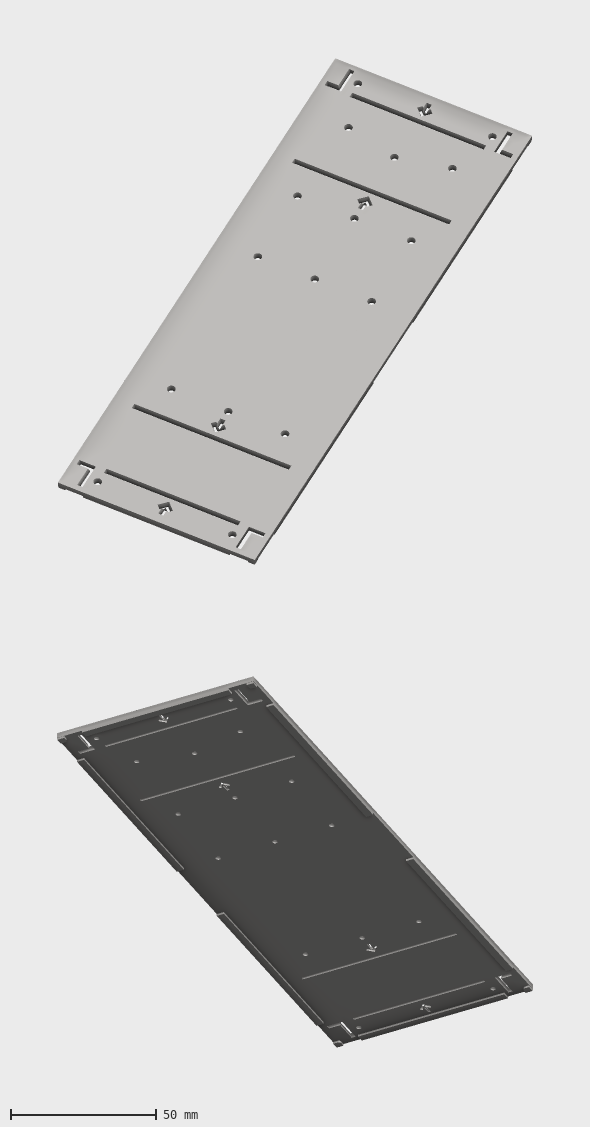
import cadquery as cq
import math

WIDTH = 76.0
LENGTH = 211.0
HEIGHT = 2.7
PLATE_THICKNESS = 1.98
RIM_HEIGHT = HEIGHT - PLATE_THICKNESS

SLOT_WIDTH = 2.0
HOLE_DIAMETER = 2.0

FLARE_DEPTH = 1.5
FLARE_STEEPNESS = 3
FLARE_INSET = FLARE_DEPTH / FLARE_STEEPNESS
FLARE_ANGLE = math.degrees(math.atan(1 / FLARE_STEEPNESS))

RIM_WIDTH = 2.7
END_RIM_LENGTH = 56.5
SIDE_RIM_LENGTH = 75.3
SIDE_RIM_GAP = 30.2

FOOT_SETBACK = 0.1
FOOT_ROUND_DIAMETER = 2.0

END_SLOT_LENGTH = 51.7
END_SLOT_Y = 93.5
INNER_SLOT_LENGTH = 60.5
UPPER_INNER_SLOT_Y = 58.5
LOWER_INNER_SLOT_Y = -63.5

ARROW_LENGTH = 6.3
ARROW_STEM_START = 2.7
ARROW_HEAD_HALF_WIDTH = 3.0
ARROW_TIP_FROM_SLOT = 2.3

CORNER_SLOT_INNER_X = 29.5
CORNER_SLOT_OUTER_X = 35.9
CORNER_SLOT_INNER_Y = 93.3
CORNER_SLOT_OUTER_Y = 103.4

CORNER_HOLE_X = 26.0
CORNER_HOLE_Y = 99.0
TOP_PAIR_X = 20.0
TOP_PAIR_Y = 80.2
TOP_CENTRE_Y = 75.5
ROW_SIDE_X = 22.0
ROW_YS = (45.2, 15.0, -50.9)


def block(x_size, y_size, z_size, x, y, z):
    """Box centred at x, y with its bottom at z."""
    return cq.Workplane("XY").box(x_size, y_size, z_size, centered=(True, True, False)).translate((x, y, z))


def top_face():
    """Workplane on the upper face of the plate."""
    return cq.Workplane("XY").workplane(offset=HEIGHT)


def with_straight_end(flare):
    """Carry the lower end of a flare straight down to the underside of the part."""
    straight = flare.faces("<Z").wires().toPending().extrude(FLARE_DEPTH - HEIGHT, combine=False)
    return flare.union(straight)


def flared_cutter(outline):
    """Cutter from an outline on the top face, all of whose walls lean inwards."""
    return with_straight_end(outline.extrude(-FLARE_DEPTH, taper=FLARE_ANGLE))


def partly_flared_cutter(upper_points, lower_points):
    """Cutter between two matching outlines, for openings that keep some walls upright."""
    wires = [
        cq.Wire.makePolygon([cq.Vector(x, y, z) for x, y in points], close=True)
        for points, z in ((lower_points, HEIGHT - FLARE_DEPTH), (upper_points, HEIGHT))
    ]
    return with_straight_end(cq.Workplane(cq.Solid.makeLoft(wires, True)))


def flared_slot(length, y):
    """Straight slot along X, flared on all four sides."""
    return flared_cutter(top_face().center(0, y).rect(length, SLOT_WIDTH))


def rim():
    """One bar along each end and two along each side, flush with the plate edges."""
    edge_x = (WIDTH - RIM_WIDTH) / 2
    edge_y = (LENGTH - RIM_WIDTH) / 2
    side_bar_y = (SIDE_RIM_GAP + SIDE_RIM_LENGTH) / 2
    bars = cq.Workplane("XY")
    for y_sign in (-1, 1):
        bars = bars.add(block(END_RIM_LENGTH, RIM_WIDTH, RIM_HEIGHT, 0, y_sign * edge_y, 0))
        for x_sign in (-1, 1):
            x = x_sign * edge_x
            bars = bars.add(block(RIM_WIDTH, SIDE_RIM_LENGTH, RIM_HEIGHT, x, y_sign * side_bar_y, 0))
    return bars.combine()


def corner_feet():
    """Four square feet whose corner towards the middle of the plate is rounded."""
    size = RIM_WIDTH - FOOT_SETBACK
    x = WIDTH / 2 - FOOT_SETBACK - size / 2
    y = LENGTH / 2 - FOOT_SETBACK - size / 2
    foot = block(size, size, RIM_HEIGHT, x, y, 0).edges("|Z and <X and <Y").fillet(FOOT_ROUND_DIAMETER / 2)
    pair = foot.union(foot.mirror("YZ"))
    return pair.union(pair.mirror("XZ"))


def arrow(slot_y, side):
    """Arrow cut-out on one side (+1 or -1 along Y) of the slot at slot_y, its tip towards the slot."""
    tip_y = slot_y + side * ARROW_TIP_FROM_SLOT
    inner_apex = SLOT_WIDTH * math.sqrt(2)
    stroke_step = SLOT_WIDTH / math.sqrt(2)
    wing = ARROW_HEAD_HALF_WIDTH
    inner_wing_x = wing - stroke_step
    inner_wing_y = wing + stroke_step
    head_points = (
        (0, 0),
        (wing, wing),
        (inner_wing_x, inner_wing_y),
        (0, inner_apex),
        (-inner_wing_x, inner_wing_y),
        (-wing, wing),
    )
    head_outline = [(x, tip_y + side * y) for x, y in head_points]
    head = flared_cutter(top_face().polyline(head_outline).close())

    def stem_outline(inset):
        half_width = SLOT_WIDTH / 2 - inset
        start_y = tip_y + side * ARROW_STEM_START
        end_y = tip_y + side * (ARROW_LENGTH - inset)
        return [(-half_width, start_y), (half_width, start_y), (half_width, end_y), (-half_width, end_y)]

    return head.union(partly_flared_cutter(stem_outline(0), stem_outline(FLARE_INSET)))


def corner_slot(x_sign, y_sign):
    """L-shaped slot whose corner points towards the middle of the plate.

    The walls on the plate-corner side and the short arm's end lean inwards; the others are upright.
    """
    def outline(inset):
        arm_x = CORNER_SLOT_INNER_X + SLOT_WIDTH - inset
        arm_y = CORNER_SLOT_INNER_Y + SLOT_WIDTH - inset
        end_x = CORNER_SLOT_OUTER_X - inset
        points = (
            (CORNER_SLOT_INNER_X, CORNER_SLOT_INNER_Y),
            (end_x, CORNER_SLOT_INNER_Y),
            (end_x, arm_y),
            (arm_x, arm_y),
            (arm_x, CORNER_SLOT_OUTER_Y),
            (CORNER_SLOT_INNER_X, CORNER_SLOT_OUTER_Y),
        )
        return [(x_sign * x, y_sign * y) for x, y in points]

    return partly_flared_cutter(outline(0), outline(FLARE_INSET))


def hole_centres():
    """Corner holes, the upper group of three and three rows of three."""
    centres = [(x, y) for x in (-CORNER_HOLE_X, CORNER_HOLE_X) for y in (-CORNER_HOLE_Y, CORNER_HOLE_Y)]
    centres += [(-TOP_PAIR_X, TOP_PAIR_Y), (0, TOP_CENTRE_Y), (TOP_PAIR_X, TOP_PAIR_Y)]
    centres += [(x, y) for x in (-ROW_SIDE_X, 0, ROW_SIDE_X) for y in ROW_YS]
    return centres


plate = block(WIDTH, LENGTH, PLATE_THICKNESS, 0, 0, RIM_HEIGHT).union(rim()).union(corner_feet())

long_slots = (
    (END_SLOT_LENGTH, END_SLOT_Y, 1),
    (INNER_SLOT_LENGTH, UPPER_INNER_SLOT_Y, -1),
    (INNER_SLOT_LENGTH, LOWER_INNER_SLOT_Y, 1),
    (END_SLOT_LENGTH, -END_SLOT_Y, -1),
)
for slot_length, slot_y, arrow_side in long_slots:
    plate = plate.cut(flared_slot(slot_length, slot_y))
    plate = plate.cut(arrow(slot_y, arrow_side))

for x_sign in (-1, 1):
    for y_sign in (-1, 1):
        plate = plate.cut(corner_slot(x_sign, y_sign))

hole_top_radius = HOLE_DIAMETER / 2 + FLARE_INSET
holes = flared_cutter(top_face().pushPoints(hole_centres()).circle(hole_top_radius))
result = plate.cut(holes)